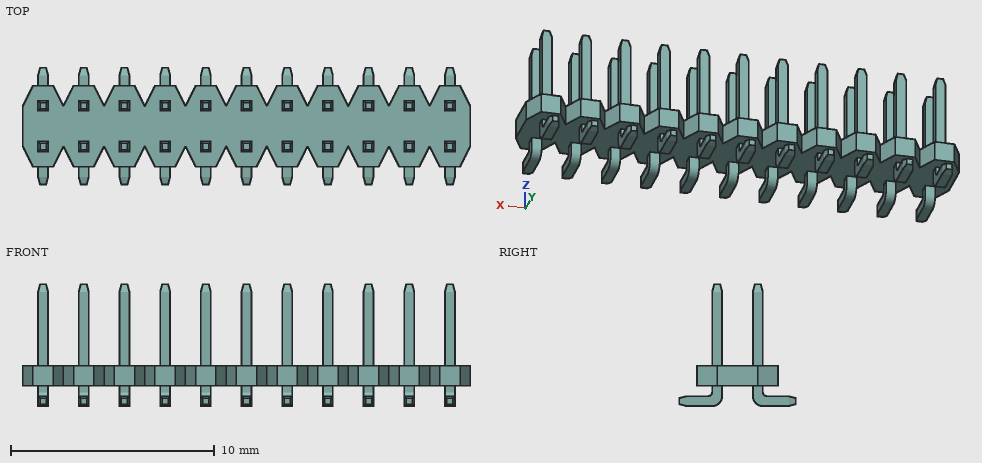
import cadquery as cq

pitch = 2.0
pins_per_row = 11
rows = 2

body_length = pins_per_row * pitch
body_width = rows * pitch
body_bottom = 1.0
body_thickness = 1.0
tooth_depth = pitch / 2
tooth_end_half_width = pitch / 4

pin_size = 0.5
pin_top = 6.0
foot_span = 5.75
tip_length = 0.375
tip_size = 0.3
inner_bend_radius = 0.2
outer_bend_radius = 0.5

pin_positions = [(i - (pins_per_row - 1) / 2) * pitch for i in range(pins_per_row)]
row_offset = pitch / 2


def make_body():
    """Flat strip with one tapered tooth per pin on each long side and V-notches between teeth."""
    tooth_end_y = -body_width / 2
    tooth_root_y = tooth_end_y + tooth_depth
    front_side = [(-body_length / 2, tooth_root_y)]
    for pin_x in pin_positions:
        front_side.append((pin_x - tooth_end_half_width, tooth_end_y))
        front_side.append((pin_x + tooth_end_half_width, tooth_end_y))
        front_side.append((pin_x + pitch / 2, tooth_root_y))
    back_side = [(-x, -y) for x, y in front_side]
    return (
        cq.Workplane("XY")
        .workplane(offset=body_bottom)
        .polyline(front_side + back_side)
        .close()
        .extrude(body_thickness)
    )


def make_tip(base_plane):
    """Blunt pyramid tip that grows from the given plane along its normal."""
    return (
        cq.Workplane(base_plane)
        .rect(pin_size, pin_size)
        .workplane(offset=tip_length)
        .rect(tip_size, tip_size)
        .loft()
    )


def make_front_pin():
    """L-shaped pin of the front row at X = 0, with its foot pointing toward -Y."""
    centre_side_y = -row_offset + pin_size / 2
    foot_side_y = -row_offset - pin_size / 2
    post_end_z = pin_top - tip_length
    foot_end_y = -foot_span / 2 + tip_length
    stem = (
        cq.Workplane("YZ")
        .moveTo(foot_end_y, 0)
        .lineTo(centre_side_y - outer_bend_radius, 0)
        .radiusArc((centre_side_y, outer_bend_radius), -outer_bend_radius)
        .lineTo(centre_side_y, post_end_z)
        .lineTo(foot_side_y, post_end_z)
        .lineTo(foot_side_y, pin_size + inner_bend_radius)
        .radiusArc((foot_side_y - inner_bend_radius, pin_size), inner_bend_radius)
        .lineTo(foot_end_y, pin_size)
        .close()
        .extrude(pin_size / 2, both=True)
    )
    post_end = cq.Plane(origin=(0, -row_offset, post_end_z), xDir=(1, 0, 0), normal=(0, 0, 1))
    foot_end = cq.Plane(origin=(0, foot_end_y, pin_size / 2), xDir=(1, 0, 0), normal=(0, -1, 0))
    return stem.union(make_tip(post_end)).union(make_tip(foot_end))


front_pin = make_front_pin()
back_pin = front_pin.mirror("XZ")

result = make_body()
for pin_x in pin_positions:
    result = result.union(front_pin.translate((pin_x, 0, 0)))
    result = result.union(back_pin.translate((pin_x, 0, 0)))